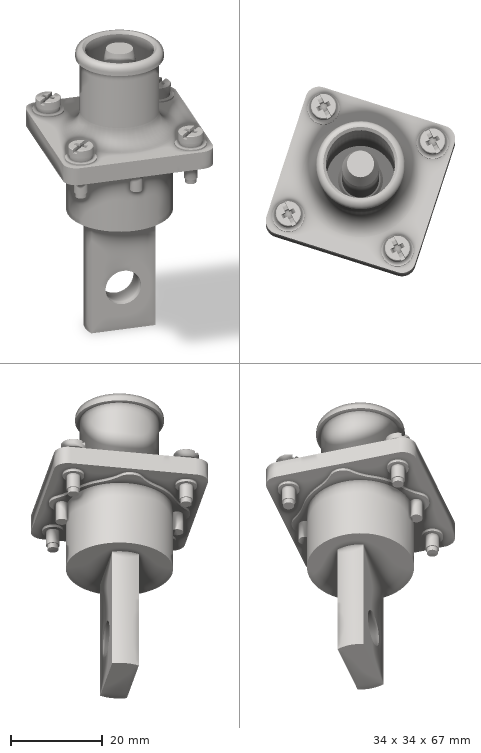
import cadquery as cq
import math

total_height = 67.0
body_bottom = 27.95
gasket_bottom = 42.9
gasket_thickness = 0.6
flange_bottom = gasket_bottom + gasket_thickness
flange_thickness = 4.1
flange_top = flange_bottom + flange_thickness

flange_size = 34.0
corner_radius = 3.0

tube_radius = 8.65
flare_radius = 4.0
lip_radius = 9.65
lip_height = 2.35
lip_rounding = 1.5
bore_radius = 7.5
bore_chamfer = 0.6
bore_floor = flange_top

contact_tip_radius = 2.95
contact_radius = 4.0
contact_top = total_height - 0.35
contact_taper_height = 5.5
collar_radius = 4.9
collar_chamfer = 0.55

body_radius = 11.65
blade_round_radius = 7.85
blade_thickness = 5.9
blade_hole_diameter = 8.05
blade_hole_height = 10.1

gasket_radius = 12.7
lobe_offset = 12.5
lobe_radius = 3.0
blend_radius = 12.7

peg_offset = 12.7
peg_radius = 1.35
peg_bottom = 38.45

screw_spacing = 24.9
washer_radius = 3.5
washer_thickness = 0.35
lock_ring_radius = 2.55
lock_ring_thickness = 1.0
head_radius = 2.75
head_height = 1.9
head_chamfer = 0.15
lower_washer_radius = 2.35
shank_radius = 1.5
shank_bottom = 39.5
tip_radius = 1.2
tip_bottom = peg_bottom
slot_width = 1.0
slot_depth = 0.9
cross_depth = 1.35
cross_top_length = 3.1
cross_bottom_length = 1.75


def cylinder(radius, bottom, top):
    return cq.Workplane("XY").workplane(offset=bottom).circle(radius).extrude(top - bottom)


def polar(radius, angle, centre=(0, 0)):
    return (centre[0] + radius * math.cos(angle), centre[1] + radius * math.sin(angle))


def make_flange():
    flange = cq.Workplane("XY").workplane(offset=flange_bottom).rect(flange_size, flange_size)
    return flange.extrude(flange_thickness).edges("|Z").fillet(corner_radius)


def make_tube():
    """Solid of revolution: flare, tube wall and the rounded lip."""
    lip_bottom = total_height - lip_height
    arc_middle = math.sqrt(0.5)
    flare_edge = tube_radius + flare_radius
    flare_end = flange_top + flare_radius
    flare_middle = (flare_edge - flare_radius * arc_middle, flare_end - flare_radius * arc_middle)
    round_centre_radius = lip_radius - lip_rounding
    round_centre_height = total_height - lip_rounding
    round_middle = (
        round_centre_radius + lip_rounding * arc_middle,
        round_centre_height + lip_rounding * arc_middle,
    )
    profile = (
        cq.Workplane("XZ")
        .moveTo(0, flange_bottom)
        .lineTo(flare_edge, flange_bottom)
        .lineTo(flare_edge, flange_top)
        .threePointArc(flare_middle, (tube_radius, flare_end))
        .lineTo(tube_radius, lip_bottom)
        .lineTo(lip_radius, lip_bottom)
        .lineTo(lip_radius, round_centre_height)
        .threePointArc(round_middle, (round_centre_radius, total_height))
        .lineTo(0, total_height)
        .close()
    )
    return profile.revolve(360, (0, 0), (0, 1))


def make_bore():
    """Cutter for the socket, flaring at the mouth."""
    profile = [
        (0, bore_floor),
        (bore_radius, bore_floor),
        (bore_radius, total_height - bore_chamfer),
        (bore_radius + bore_chamfer, total_height),
        (0, total_height),
    ]
    return cq.Workplane("XZ").polyline(profile).close().revolve(360, (0, 0), (0, 1))


def make_contact():
    """Tapered pin with a chamfered collar at its foot."""
    collar_top = bore_floor + collar_chamfer
    profile = [
        (0, flange_bottom),
        (collar_radius, flange_bottom),
        (collar_radius, bore_floor),
        (collar_radius - collar_chamfer, collar_top),
        (contact_radius, collar_top),
        (contact_radius, contact_top - contact_taper_height),
        (contact_tip_radius, contact_top),
        (0, contact_top),
    ]
    return cq.Workplane("XZ").polyline(profile).close().revolve(360, (0, 0), (0, 1))


def make_blade():
    """Terminal blade: a round bar flattened on two sides, with a cross hole."""
    bar = cylinder(blade_round_radius, 0, body_bottom)
    slab = cq.Workplane("XY").rect(blade_thickness, 2 * blade_round_radius).extrude(body_bottom)
    hole = (
        cq.Workplane("YZ")
        .center(0, blade_hole_height)
        .circle(blade_hole_diameter / 2)
        .extrude(blade_thickness, both=True)
    )
    return bar.intersect(slab).cut(hole)


def make_gasket():
    """Each blend arc is tangent to the disc and to a lobe."""
    to_blend = gasket_radius + blend_radius
    lobe_to_blend = lobe_radius + blend_radius
    blend_angle = math.acos(
        (to_blend**2 + lobe_offset**2 - lobe_to_blend**2) / (2 * to_blend * lobe_offset)
    )
    blend_x, blend_y = polar(to_blend, blend_angle)
    lobe_angle = math.atan2(blend_y, blend_x - lobe_offset)
    middle_angle = math.pi + (blend_angle + lobe_angle) / 2

    outline = cq.Workplane("XY").workplane(offset=gasket_bottom).moveTo(*polar(gasket_radius, -blend_angle))
    for side in range(4):
        turn = side * math.pi / 2
        lobe = polar(lobe_offset, turn)
        blend_before = polar(to_blend, turn - blend_angle)
        blend_after = polar(to_blend, turn + blend_angle)
        outline = (
            outline.threePointArc(
                polar(blend_radius, turn - middle_angle, blend_before),
                polar(lobe_radius, turn - lobe_angle, lobe),
            )
            .threePointArc(polar(lobe_radius, turn, lobe), polar(lobe_radius, turn + lobe_angle, lobe))
            .threePointArc(
                polar(blend_radius, turn + middle_angle, blend_after),
                polar(gasket_radius, turn + blend_angle),
            )
            .threePointArc(
                polar(gasket_radius, turn + math.pi / 4),
                polar(gasket_radius, turn + math.pi / 2 - blend_angle),
            )
        )
    return outline.close().extrude(gasket_thickness)


def make_cross_arm(head_top):
    """Cutter for one pair of recess arms along X, with sloping ends."""
    half_top = cross_top_length / 2
    half_bottom = cross_bottom_length / 2
    recess_floor = head_top - cross_depth
    corners = [
        (-half_top, head_top),
        (half_top, head_top),
        (half_bottom, recess_floor),
        (-half_bottom, recess_floor),
    ]
    return cq.Workplane("XZ").polyline(corners).close().extrude(slot_width / 2, both=True)


def make_screw():
    """Screw on the Z axis with its washers, and a combined slot and cross recess."""
    washer_top = flange_top + washer_thickness
    head_bottom = washer_top + lock_ring_thickness
    head_top = head_bottom + head_height

    slot = (
        cq.Workplane("XY")
        .workplane(offset=head_top - slot_depth)
        .rect(2 * head_radius, slot_width)
        .extrude(slot_depth)
    )
    arm = make_cross_arm(head_top)
    recess = slot.union(arm).union(arm.rotate((0, 0, 0), (0, 0, 1), 90))
    recess = recess.rotate((0, 0, 0), (0, 0, 1), -45)

    head = cylinder(head_radius, head_bottom, head_top).faces(">Z").chamfer(head_chamfer)
    return (
        head.cut(recess)
        .union(cylinder(lock_ring_radius, washer_top, head_bottom))
        .union(cylinder(washer_radius, flange_top, washer_top))
        .union(cylinder(lower_washer_radius, gasket_bottom, flange_bottom))
        .union(cylinder(shank_radius, shank_bottom, flange_bottom))
        .union(cylinder(tip_radius, tip_bottom, shank_bottom))
    )


result = make_flange().union(make_tube()).cut(make_bore()).union(make_contact())
result = result.union(make_gasket())
result = result.union(cylinder(body_radius, body_bottom, flange_bottom))
result = result.union(make_blade())

for side in (-1, 1):
    peg = cylinder(peg_radius, peg_bottom, flange_bottom)
    result = result.union(peg.translate((side * peg_offset, 0, 0)))

screw = make_screw()
for x_side in (-1, 1):
    for y_side in (-1, 1):
        place = (x_side * screw_spacing / 2, y_side * screw_spacing / 2, 0)
        result = result.union(screw.translate(place))